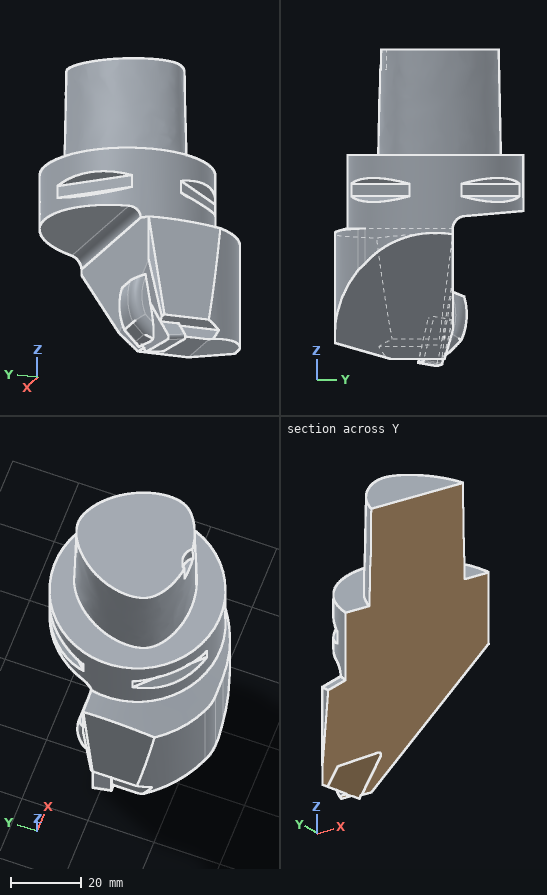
import cadquery as cq
import math

TOTAL_HEIGHT = 90.0
SHANK_LENGTH = 30.0
COLLAR_RADIUS = 25.0
COLLAR_BOTTOM = 39.15
COLLAR_TOP = TOTAL_HEIGHT - SHANK_LENGTH

SHANK_BASE_RADIUS = 17.5
SHANK_TOP_RADIUS = 16.8
LOBE_HEIGHT = 1.2
LOBE_COUNT = 3
SHANK_POINTS = 36
KEYWAY_RADIUS = 4.3
KEYWAY_APEX_Y = -13.9
KEYWAY_DEPTH = 5.8

SLOT_COUNT = 4
SLOT_FIRST_ANGLE = 45.0
SLOT_CENTER_Z = 50.0
SLOT_FLOOR_RADIUS = 22.1
SLOT_FLOOR_HEIGHT = 3.5
SLOT_SIDE_ANGLE = 30.0

HEAD_BOTTOM = 2.0
HEAD_END_X = -34.65
HEAD_FRONT_Y = -28.5
FLAT_LEFT_X = -13.2
FLAT_RIGHT_X = -7.2
RIM_JOIN_X = 15.0
SHOULDER_ANGLE = 15.0
END_FACE_TOP_X = -31.0
END_FACE_TOP_Z = 37.7
END_FACE_ANGLE = 5.0
UNDERCUT_LIP_Z = 7.65
UNDERCUT_ROOT = (-31.5, 5.6)
UNDERCUT_BOTTOM_X = -32.9
BACK_FACE_Y = 4.95
BACK_RELIEF_Z = 42.3
BACK_RELIEF_ANGLE = 5.0
BACK_RELIEF_FILLET = 3.6
BOTTOM_BREAK_Y = -12.6
BOTTOM_ANGLE = 16.0
SLANT_TOP_Z = 37.9
SLANT_ANGLE = 41.3

INSERT_TIP = (-35.8, 0.3, -0.05)
INSERT_EDGE = 15.5
INSERT_ANGLE = 55.0
INSERT_LEAD_ANGLE = 2.0
INSERT_THICKNESS = 5.4
INSERT_CORNER_RADIUS = 0.8
INSERT_EDGE_DIRECTION = (1.0, 0.1, 0.0)
INSERT_DEPTH_DIRECTION = (0.1, -1.0, 0.17)
CHIP_SPACE_HEIGHT = 27.0

CLAMP_LEFT_X = -27.7
CLAMP_WIDTH = 12.6
CLAMP_FILLET = 3.15

REACH = 108.0


def tangent(angle):
    return math.tan(math.radians(angle))


def shank_outline(mean_radius):
    """Constant-width lobed curve: support distance mean + lobe * cos(3a), one lobe toward +Y."""
    points = []
    for index in range(SHANK_POINTS):
        turn = 2 * math.pi * index / SHANK_POINTS
        support = mean_radius + LOBE_HEIGHT * math.cos(LOBE_COUNT * turn)
        slide = -LOBE_COUNT * LOBE_HEIGHT * math.sin(LOBE_COUNT * turn)
        along_y = support * math.cos(turn) - slide * math.sin(turn)
        along_x = -support * math.sin(turn) - slide * math.cos(turn)
        points.append((along_x, along_y))
    return points


def make_shank():
    shank = (
        cq.Workplane("XY", origin=(0, 0, COLLAR_TOP))
        .spline(shank_outline(SHANK_BASE_RADIUS), periodic=True).close()
        .workplane(offset=SHANK_LENGTH)
        .spline(shank_outline(SHANK_TOP_RADIUS), periodic=True).close()
        .loft(ruled=True)
    )
    keyway = (
        cq.Workplane("XY", origin=(0, KEYWAY_APEX_Y - KEYWAY_RADIUS, TOTAL_HEIGHT))
        .circle(KEYWAY_RADIUS).extrude(-KEYWAY_DEPTH)
    )
    return shank.cut(keyway)


def make_collar():
    collar = (
        cq.Workplane("XY", origin=(0, 0, COLLAR_BOTTOM))
        .circle(COLLAR_RADIUS).extrude(COLLAR_TOP - COLLAR_BOTTOM)
    )
    depth = COLLAR_RADIUS - SLOT_FLOOR_RADIUS
    half_floor = SLOT_FLOOR_HEIGHT / 2
    half_mouth = half_floor + depth * tangent(SLOT_SIDE_ANGLE)
    slot = (
        cq.Workplane("XZ")
        .polyline([
            (SLOT_FLOOR_RADIUS, SLOT_CENTER_Z - half_floor),
            (COLLAR_RADIUS, SLOT_CENTER_Z - half_mouth),
            (COLLAR_RADIUS, SLOT_CENTER_Z + half_mouth),
            (SLOT_FLOOR_RADIUS, SLOT_CENTER_Z + half_floor),
        ])
        .close().extrude(COLLAR_RADIUS, both=True)
    )
    for index in range(SLOT_COUNT):
        angle = SLOT_FIRST_ANGLE + index * 360 / SLOT_COUNT
        collar = collar.cut(slot.rotate((0, 0, 0), (0, 0, 1), angle))
    return collar


def make_head_block():
    """Vertical prism of the head, limited above by the conical shoulder."""
    rim_y = -math.sqrt(COLLAR_RADIUS**2 - RIM_JOIN_X**2)
    rim_back_x = math.sqrt(COLLAR_RADIUS**2 - BACK_FACE_Y**2)
    block = (
        cq.Workplane("XY")
        .moveTo(END_FACE_TOP_X, BACK_FACE_Y)
        .lineTo(HEAD_END_X, -0.45)
        .lineTo(HEAD_END_X, -9.7)
        .threePointArc((-27.7, -20.8), (-18.4, -27.3))
        .threePointArc((-15.9, -28.2), (FLAT_LEFT_X, HEAD_FRONT_Y))
        .lineTo(FLAT_RIGHT_X, HEAD_FRONT_Y)
        .threePointArc((3.8, -26.6), (13.0, -22.0))
        .lineTo(RIM_JOIN_X, rim_y)
        .threePointArc((COLLAR_RADIUS, 0), (rim_back_x, BACK_FACE_Y))
        .close().extrude(COLLAR_BOTTOM)
        .cut(cq.Workplane("XY").box(REACH, REACH, 2 * HEAD_BOTTOM))
    )
    shoulder_radius = 2 * COLLAR_RADIUS
    shoulder_drop = COLLAR_RADIUS * tangent(SHOULDER_ANGLE)
    shoulder = (
        cq.Workplane("XZ")
        .polyline([
            (0, 0),
            (shoulder_radius, 0),
            (shoulder_radius, COLLAR_BOTTOM - shoulder_drop),
            (COLLAR_RADIUS, COLLAR_BOTTOM),
            (0, COLLAR_BOTTOM),
        ])
        .close().revolve(360, (0, 0, 0), (0, 1, 0))
    )
    return block.intersect(shoulder)


def cut_profile(plane, points):
    """Cutting prism through the whole part along the normal of the plane."""
    return cq.Workplane(plane).polyline(points).close().extrude(REACH, both=True)


def end_face_cut():
    """Leaning end face with a V-shaped undercut below it."""
    lip_x = END_FACE_TOP_X - (END_FACE_TOP_Z - UNDERCUT_LIP_Z) * tangent(END_FACE_ANGLE)
    top_x = END_FACE_TOP_X + (COLLAR_BOTTOM - END_FACE_TOP_Z) * tangent(END_FACE_ANGLE)
    return cut_profile("XZ", [
        (top_x, COLLAR_BOTTOM),
        (lip_x, UNDERCUT_LIP_Z),
        UNDERCUT_ROOT,
        (UNDERCUT_BOTTOM_X, HEAD_BOTTOM),
        (UNDERCUT_BOTTOM_X, 0),
        (-REACH, 0),
        (-REACH, COLLAR_BOTTOM),
    ])


def slant_cut():
    """Slanted underside, rising toward +X."""
    bottom_x = COLLAR_RADIUS - SLANT_TOP_Z / tangent(SLANT_ANGLE)
    return cut_profile("XZ", [
        (COLLAR_RADIUS, SLANT_TOP_Z),
        (bottom_x, 0),
        (REACH, 0),
        (REACH, SLANT_TOP_Z),
    ])


def bottom_cut():
    """Bottom clearance, rising toward -Y."""
    run = BOTTOM_BREAK_Y + REACH
    return cut_profile("YZ", [
        (BOTTOM_BREAK_Y, HEAD_BOTTOM),
        (-REACH, HEAD_BOTTOM + run * tangent(BOTTOM_ANGLE)),
        (-REACH, HEAD_BOTTOM),
    ])


def back_relief_cut():
    """Space behind the head, with a fillet under the collar."""
    run = REACH - BACK_FACE_Y
    relief = cut_profile("YZ", [
        (BACK_FACE_Y, 0),
        (BACK_FACE_Y, BACK_RELIEF_Z),
        (REACH, BACK_RELIEF_Z + run * tangent(BACK_RELIEF_ANGLE)),
        (REACH, 0),
    ])
    corner = cq.selectors.NearestToPointSelector((0, BACK_FACE_Y, BACK_RELIEF_Z))
    return relief.edges("|X").edges(corner).fillet(BACK_RELIEF_FILLET)


def in_insert_plane(shape):
    """Place a shape so that its XY plane is the rake face, its origin the cutting corner and +Z the depth."""
    plane = cq.Plane(origin=INSERT_TIP, xDir=INSERT_EDGE_DIRECTION, normal=INSERT_DEPTH_DIRECTION)
    return cq.Workplane(shape.val().moved(cq.Location(plane)))


def make_insert():
    low = math.radians(INSERT_LEAD_ANGLE)
    high = math.radians(INSERT_LEAD_ANGLE + INSERT_ANGLE)
    right = (INSERT_EDGE * math.cos(low), INSERT_EDGE * math.sin(low))
    left = (INSERT_EDGE * math.cos(high), INSERT_EDGE * math.sin(high))
    far = (right[0] + left[0], right[1] + left[1])
    rhombus = (
        cq.Workplane("XY")
        .polyline([(0, 0), right, far, left]).close()
        .extrude(INSERT_THICKNESS)
        .edges("|Z").fillet(INSERT_CORNER_RADIUS)
    )
    return in_insert_plane(rhombus)


def chip_space_cut():
    """Everything in front of the rake plane, up to where that plane leaves the back face."""
    space = cq.Workplane("XY").box(REACH, 2 * CHIP_SPACE_HEIGHT, REACH, centered=(True, True, False))
    return in_insert_plane(space.translate((0, 0, -REACH)))


def make_clamp_finger():
    """Curved finger of the holder, standing out of the back face and bearing on the insert."""
    return (
        cq.Workplane("YZ", origin=(CLAMP_LEFT_X, 0, 0))
        .moveTo(1.9, 2.5)
        .lineTo(4.1, 4.05)
        .lineTo(7.4, 7.4)
        .threePointArc((8.9, 15.75), (8.2, 19.8))
        .lineTo(4.1, 21.4)
        .close().extrude(CLAMP_WIDTH)
        .edges(cq.selectors.BoxSelector((-REACH, 5.4, 0), (REACH, REACH, 19.8)))
        .edges("not |X").fillet(CLAMP_FILLET)
    )


insert = make_insert()

holder = make_collar().union(make_head_block())
for cutter in (end_face_cut(), slant_cut(), bottom_cut(), back_relief_cut(), chip_space_cut()):
    holder = holder.cut(cutter)
holder = holder.union(make_shank()).union(make_clamp_finger()).cut(insert)

result = cq.Compound.makeCompound([holder.val(), insert.val()])